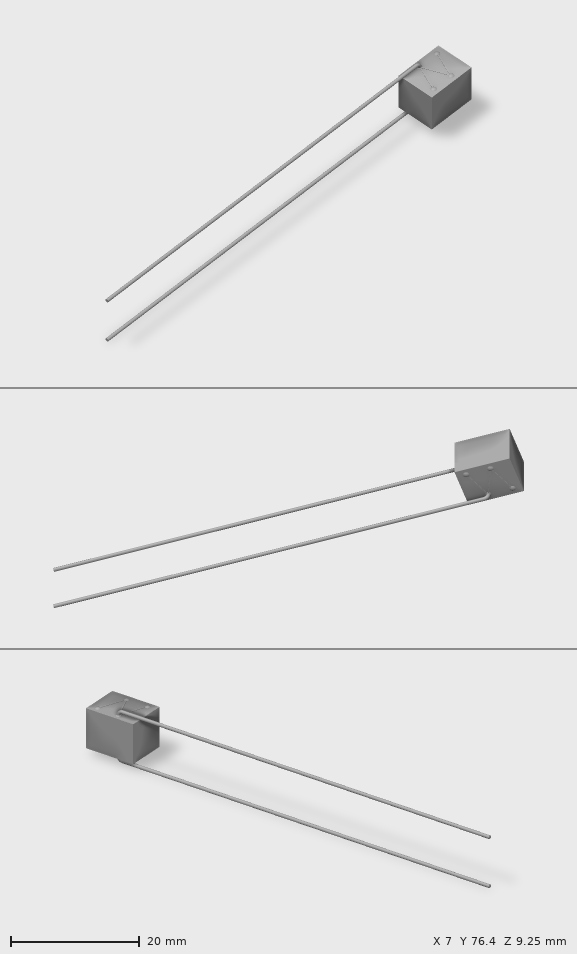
import cadquery as cq
import math

BLOCK_SIDE = 7.0
TOP_FACE_Z = BLOCK_SIDE / 2
PLATE_THICKNESS = 0.5
CHIP_THICKNESS = 2.0
CHIP_COUNT = 4
GLUE_THICKNESS = 0.1

JOINT_X = 2.45
JOINT_RADIUS = 0.5
JOINT_HEIGHT = 0.19

WIRE_WIDTH = 0.19
WIRE_HEIGHT = 0.1

LEAD_END_Y = -76.4
OVERALL_HEIGHT = 9.25
LEAD_RADIUS = 0.3
LEAD_BEND_RADIUS = 0.8
LEAD_JOINT_INDEX = 2
LEAD_AXIS_Z = OVERALL_HEIGHT / 2 - LEAD_RADIUS


def section(start_y, thickness):
    """Square section of the block that runs from start_y toward -Y."""
    center_y = start_y - thickness / 2
    return cq.Workplane("XY").box(BLOCK_SIDE, thickness, BLOCK_SIDE).translate((0, center_y, 0))


def make_stack():
    """Rear end plate, chips and the final glue layer as one solid; the seams stay as edges."""
    stack = section(0, PLATE_THICKNESS)
    end_y = -PLATE_THICKNESS
    for thickness in [CHIP_THICKNESS] * CHIP_COUNT + [GLUE_THICKNESS]:
        stack = stack.union(section(end_y, thickness), clean=False)
        end_y -= thickness
    return stack


def make_front_plate():
    """End plate that closes the stack on the -Y side."""
    start_y = -(PLATE_THICKNESS + CHIP_COUNT * CHIP_THICKNESS + GLUE_THICKNESS)
    return section(start_y, PLATE_THICKNESS)


def joint_point(index):
    """Place of a joint on the top face, in the middle of its chip along Y."""
    x = -JOINT_X if index % 2 == 0 else JOINT_X
    y = -(PLATE_THICKNESS + (index + 0.5) * CHIP_THICKNESS)
    return x, y


def make_joint(point):
    """Shallow solder dome."""
    sphere_radius = (JOINT_RADIUS**2 + JOINT_HEIGHT**2) / (2 * JOINT_HEIGHT)
    arc_x = JOINT_RADIUS / 2
    arc_z = JOINT_HEIGHT - sphere_radius + math.sqrt(sphere_radius**2 - arc_x**2)
    dome = (
        cq.Workplane("XZ")
        .lineTo(JOINT_RADIUS, 0)
        .threePointArc((arc_x, arc_z), (0, JOINT_HEIGHT))
        .close()
        .revolve(360, (0, 0), (0, 1))
    )
    return dome.translate((*point, TOP_FACE_Z))


def make_wire(start, end):
    """Straight flat wire between the centres of two joints."""
    run_x = end[0] - start[0]
    run_y = end[1] - start[1]
    angle = math.degrees(math.atan2(run_y, run_x))
    return (
        cq.Workplane("XY")
        .box(math.hypot(run_x, run_y), WIRE_WIDTH, WIRE_HEIGHT, centered=(False, True, False))
        .rotate((0, 0, 0), (0, 0, 1), angle)
        .translate((*start, TOP_FACE_Z))
    )


def make_lead(point):
    """Round lead that rises from a joint and bends toward -Y."""
    x, y = point
    path = (
        cq.Workplane(cq.Plane((x, 0, 0), xDir=(0, 1, 0), normal=(1, 0, 0)))
        .moveTo(y, TOP_FACE_Z)
        .lineTo(y, LEAD_AXIS_Z - LEAD_BEND_RADIUS)
        .tangentArcPoint((y - LEAD_BEND_RADIUS, LEAD_AXIS_Z), relative=False)
        .lineTo(LEAD_END_Y, LEAD_AXIS_Z)
    )
    base = cq.Plane((x, y, TOP_FACE_Z), xDir=(-1, 0, 0), normal=(0, 0, 1))
    return cq.Workplane(base).circle(LEAD_RADIUS).sweep(path)


def make_wiring():
    """Joints, zigzag wire and lead of the top face as one solid."""
    points = [joint_point(index) for index in range(CHIP_COUNT)]
    wiring = make_lead(points[LEAD_JOINT_INDEX])
    for point in points:
        wiring = wiring.union(make_joint(point))
    for start, end in zip(points, points[1:]):
        wiring = wiring.union(make_wire(start, end))
    return wiring


stack = make_stack()
front_plate = make_front_plate()
top_wiring = make_wiring()
bottom_wiring = top_wiring.mirror("XY")

result = cq.Compound.makeCompound(
    [stack.val(), front_plate.val(), *top_wiring.vals(), *bottom_wiring.vals()]
)